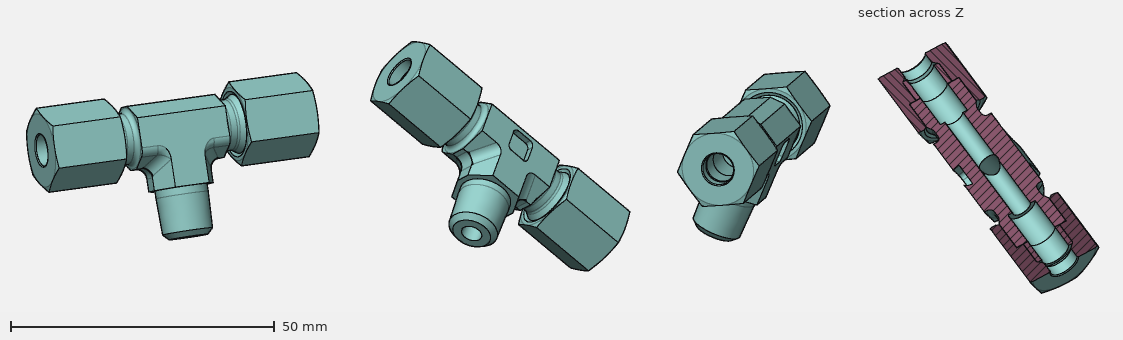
import cadquery as cq
import math

BRANCH_TILT = 22.5

STOCK_FLATS = 12.0
STOCK_CORNERS = 12.1
RUN_LENGTH = 18.05
CROTCH_RADIUS = 2.0

COLLAR_END = 10.55
STUB_LINE = 12.0
STUB_END = 20.05
STUB_DIAMETER = 10.05
TAPER_RATIO = 1 / 16
STUB_CHAMFER = 1.1

THREAD_DIAMETER = 11.3
NECK_DIAMETER = 9.7
NECK_RADIUS = 0.95
NECK_END = 11.3
NECK_RUNOUT = 30
ARM_END = 19.0

FLOW_DIAMETER = 4.0
TUBE_DIAMETER = 6.0
TUBE_STOP = 12.0

RECESS_SIDE = 5.0
RECESS_CORNER = 0.95
RECESS_DEPTH = 1.4

OVERALL_LENGTH = 54
NUT_LENGTH = 14.45
NUT_FLATS = 14.0
NUT_CHAMFER_ANGLE = 15
NUT_HOLE_LENGTH = 2.45
NUT_HOLE_CHAMFER = 0.2
NUT_MOUTH_DIAMETER = 12.55
NUT_MOUTH_ANGLE = 30

RING_DIAMETER = 8.0
RING_CHAMFER = 0.25

NUT_OUTER = OVERALL_LENGTH / 2
NUT_INNER = NUT_OUTER - NUT_LENGTH
NUT_SHOULDER = NUT_OUTER - NUT_HOLE_LENGTH
CONE_START = NUT_SHOULDER - (RING_DIAMETER - TUBE_DIAMETER) / 2
RING_OUTER = CONE_START + RING_CHAMFER
ENDS = (1, -1)


def hexagon(flats, plane):
    """Hexagon with two flats facing the local x direction of the plane."""
    circumscribed = flats / math.cos(math.radians(30))
    return cq.Workplane(plane).transformed(rotate=(0, 0, 30)).polygon(6, circumscribed)


def turned(points):
    """Solid of revolution about Y from (radius, y) points."""
    return cq.Workplane("XY").polyline(points).close().revolve(360, (0, 0, 0), (0, 1, 0))


def at_end(shape, end):
    """Shape made for the +Y arm, moved to the arm at the given end."""
    return shape if end > 0 else shape.mirror("XZ")


def make_run():
    """Bar along Y that carries the two arms."""
    bar = hexagon(STOCK_FLATS, "XZ").extrude(RUN_LENGTH / 2, both=True)
    return bar.intersect(cq.Workplane("XY").box(STOCK_FLATS * 2, RUN_LENGTH, STOCK_CORNERS))


def make_collar():
    """Bar of the same stock that hangs along -Z and carries the stub."""
    bar = hexagon(STOCK_FLATS, "XY").extrude(-COLLAR_END)
    return bar.intersect(cq.Workplane("XY").box(STOCK_FLATS * 2, STOCK_CORNERS, COLLAR_END * 2))


def make_forging():
    """Run and collar with the crotch between them rounded on both sides."""
    forging = make_run().union(make_collar())
    half_flats = STOCK_FLATS / 2
    half_side = half_flats * math.tan(math.radians(30))
    sharp_corner = half_flats / math.cos(math.radians(30))
    for end in ENDS:
        crotch = cq.selectors.BoxSelector(
            (-half_flats, end * half_side, -half_side),
            (half_flats, end * sharp_corner, -sharp_corner),
        )
        forging = forging.edges(crotch).fillet(CROTCH_RADIUS)
    return forging


def make_stub():
    """Tapered branch end, built along -Z."""
    root = STUB_DIAMETER / 2
    chamfer_start = STUB_END - STUB_CHAMFER
    tip = root - (chamfer_start - STUB_LINE) * TAPER_RATIO / 2
    outline = [
        (0, 0), (root, 0), (root, -STUB_LINE), (tip, -chamfer_start),
        (tip - STUB_CHAMFER, -STUB_END), (0, -STUB_END),
    ]
    return cq.Workplane("XZ").polyline(outline).close().revolve(360, (0, 0, 0), (0, 1, 0))


def make_arm():
    """Neck and threaded end of the +Y arm."""
    face = RUN_LENGTH / 2
    neck = NECK_DIAMETER / 2
    thread = THREAD_DIAMETER / 2
    slope = math.radians(NECK_RUNOUT)

    def on_runout(angle):
        """Point on the neck fillet where it has turned by the angle."""
        return (neck + NECK_RADIUS * (1 - math.cos(angle)), NECK_END + NECK_RADIUS * math.sin(angle))

    runout_end = on_runout(slope)
    thread_start = runout_end[1] + (thread - runout_end[0]) / math.tan(slope)
    fillet_mid = NECK_RADIUS * (1 - math.sqrt(0.5))
    outline = (
        cq.Workplane("XY")
        .moveTo(0, 0)
        .lineTo(neck + NECK_RADIUS, 0)
        .lineTo(neck + NECK_RADIUS, face)
        .threePointArc((neck + fillet_mid, face + fillet_mid), (neck, face + NECK_RADIUS))
        .lineTo(neck, NECK_END)
        .threePointArc(on_runout(slope / 2), runout_end)
        .lineTo(thread, thread_start)
        .lineTo(thread, ARM_END)
        .lineTo(0, ARM_END)
        .close()
    )
    return outline.revolve(360, (0, 0, 0), (0, 1, 0))


def rod(diameter, start, stop):
    """Cylinder on the Y axis."""
    return cq.Workplane("XZ", origin=(0, start, 0)).circle(diameter / 2).extrude(start - stop)


def make_recess():
    """Square recess with rounded corners, cut into the flat on the -X side."""
    outer_face = cq.Workplane("YZ", origin=(-STOCK_FLATS / 2, 0, 0))
    block = outer_face.rect(RECESS_SIDE, RECESS_SIDE).extrude(RECESS_DEPTH)
    return block.edges("|X").fillet(RECESS_CORNER)


def make_body():
    """Tee fitting with two threaded arms, a branch stub and its passages."""
    body = make_forging().union(make_stub())
    for end in ENDS:
        body = body.union(at_end(make_arm(), end))
        body = body.cut(at_end(rod(TUBE_DIAMETER, TUBE_STOP, ARM_END), end))
    body = body.cut(rod(FLOW_DIAMETER, -ARM_END, ARM_END))
    body = body.cut(cq.Workplane("XY").circle(FLOW_DIAMETER / 2).extrude(-STUB_END))
    return body.cut(make_recess())


def make_nut():
    """Nut on the +Y arm."""
    blank = hexagon(NUT_FLATS, cq.Plane((0, NUT_INNER, 0), (1, 0, 0), (0, 1, 0))).extrude(NUT_LENGTH)
    face = NUT_FLATS / 2
    drop = face * math.tan(math.radians(NUT_CHAMFER_ANGLE))
    envelope = turned([
        (0, NUT_INNER), (face, NUT_INNER), (face * 2, NUT_INNER + drop),
        (face * 2, NUT_OUTER - drop), (face, NUT_OUTER), (0, NUT_OUTER),
    ])
    mouth = NUT_MOUTH_DIAMETER / 2
    thread = THREAD_DIAMETER / 2
    mouth_depth = (mouth - thread) * math.tan(math.radians(NUT_MOUTH_ANGLE))
    hole = TUBE_DIAMETER / 2
    rim = hole + NUT_HOLE_CHAMFER
    seat = RING_DIAMETER / 2
    bore = turned([
        (0, NUT_INNER), (mouth, NUT_INNER), (thread, NUT_INNER + mouth_depth), (thread, ARM_END),
        (seat, ARM_END), (seat, CONE_START), (hole, NUT_SHOULDER),
        (hole, NUT_OUTER - NUT_HOLE_CHAMFER), (rim, NUT_OUTER), (0, NUT_OUTER),
    ])
    return blank.intersect(envelope).cut(bore)


def make_ring():
    """Sealing ring between the +Y arm and its nut."""
    bore = TUBE_DIAMETER / 2
    outside = RING_DIAMETER / 2
    return turned([
        (bore, ARM_END), (outside, ARM_END), (outside, CONE_START),
        (outside - RING_CHAMFER, RING_OUTER), (bore, RING_OUTER),
    ])


def tilted(shape):
    """Shape swung about the run axis to the final branch direction."""
    return shape.rotate((0, 0, 0), (0, 1, 0), -BRANCH_TILT)


body = tilted(make_body())
nuts = [tilted(at_end(make_nut(), end)) for end in ENDS]
rings = [tilted(at_end(make_ring(), end)) for end in ENDS]

result = cq.Compound.makeCompound(
    [body.val(), *[nut.val() for nut in nuts], *[ring.val() for ring in rings]]
)